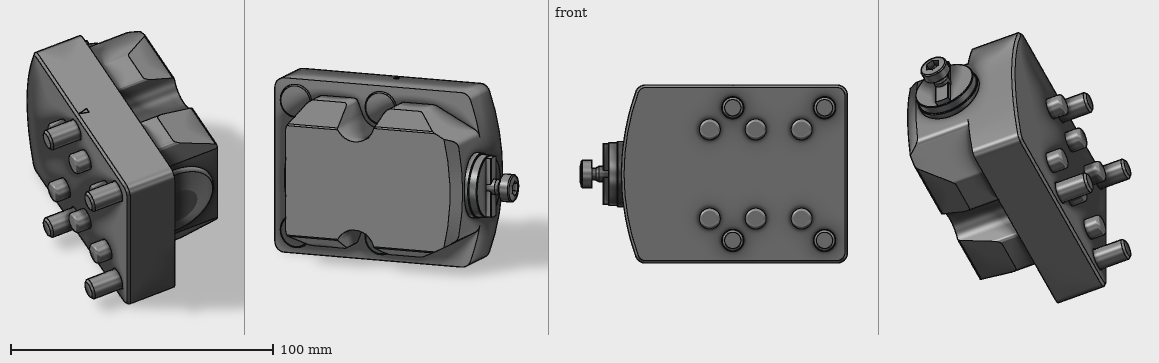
import cadquery as cq
import math


plate_length = 86.2
plate_height = 68.0
plate_depth = 20.0
plate_corner_radius = 4.0
plate_chamfer = 1.0
end_arc_radius = 93.0
half_height = plate_height / 2

screw_spacing_x = 35.0
screw_end_margin = 8.75
screw_last_x = plate_length - screw_end_margin
screw_first_x = screw_last_x - screw_spacing_x
screw_z = 25.3
screw_diameter = 8.0
screw_length = 25.0
screw_protrusion = 12.5
screw_end_chamfer = 0.9
head_diameter = 13.0
head_height = 8.0
head_edge_chamfer = 0.5
screw_hole_diameter = 8.5
head_seat_y = screw_length - screw_protrusion

stud_spacing_x = screw_spacing_x / 2
stud_middle_x = (screw_first_x + screw_last_x) / 2 - stud_spacing_x / 2
stud_z = 17.0
stud_diameter = 8.0
stud_length = 6.0
stud_end_radius = 1.2

back_y = 46.0
body_half_height = 28.4
body_end_x = 71.0
lead_angle = math.radians(27)
lead_end_x = 20.0
lead_fillet = 4.0

valley_radius = 8.1
valley_tilt = math.radians(21)
valley_left_fillet = 1.5
lug_fillet = 2.0
lug_end_tilt = math.radians(21)
lug_end_flat_z = 20.0

back_slope = 0.4
front_lug_slope_depth = 12.5
rear_lug_slope_depth = 16.8
back_edge_chamfer = 0.6

bevel_depth = 4.9
bevel_inset = 3.2

axis_y = 27.0
boss_radius = 17.0
boss_overlap = 1.0
boss_round_length = 1.8
boss_length = 4.0
boss_rim_x = body_end_x + boss_round_length
boss_end_x = body_end_x + boss_length
boss_cone_radius = 16.0
boss_end_radius = 8.4
collar_radius = 12.5
collar_face_x = -1.7
collar_chamfer = 0.3
collar_root_x = 10.0

disc_radius = 12.0
disc_face_x = -5.0
rib_width = 5.4
plug_chamfer = 0.3
rib_face_x = -7.05
hub_radius = 3.0
hub_round_x = -8.5
hub_end_x = -9.7
hub_end_radius = 2.4

clamp_tip_x = -15.81
clamp_head_radius = 5.3
clamp_head_length = 4.5
clamp_cone_length = 0.5
clamp_rim_length = 1.0
clamp_rim_radius = 4.9
clamp_neck_radius = 2.3
clamp_socket_flats = 5.0
clamp_socket_depth = 2.5
clamp_socket_point = 1.5
clamp_socket_corners = clamp_socket_flats / math.cos(math.pi / 6)

mark_width = 2.1
mark_tip_y = 1.2
mark_base_y = 5.0
mark_depth = 0.2


def arc_x(z):
    """X of the arched end at height z."""
    return end_arc_radius - math.sqrt(end_arc_radius**2 - z**2)


def plane_y(y):
    """Sketch plane facing +Y at depth y, with local axes along +X and -Z."""
    return cq.Workplane(cq.Plane(origin=(0, y, 0), xDir=(1, 0, 0), normal=(0, 1, 0)))


def plane_x(x):
    """Sketch plane facing +X on the plug axis, with local axes along +Y and +Z."""
    return cq.Workplane(cq.Plane(origin=(x, axis_y, 0), xDir=(0, 1, 0), normal=(1, 0, 0)))


def turned(profile):
    """Revolve a closed (x, radius) profile around the plug axis."""
    axis_plane = cq.Workplane(cq.Plane(origin=(0, axis_y, 0), xDir=(1, 0, 0), normal=(0, 0, 1)))
    return axis_plane.polyline(profile).close().revolve(360, (0, 0, 0), (1, 0, 0))


def make_plate():
    corner_x = arc_x(half_height)
    plate = (
        plane_y(0)
        .moveTo(corner_x, -half_height)
        .lineTo(plate_length, -half_height)
        .lineTo(plate_length, half_height)
        .lineTo(corner_x, half_height)
        .threePointArc((0, 0), (corner_x, -half_height))
        .close()
        .extrude(plate_depth)
    )
    plate = plate.edges("|Y").fillet(plate_corner_radius)
    return plate.faces("<Y").edges().chamfer(plate_chamfer)


def lead_start():
    """Point where the slanted side wall meets the arched end."""
    wall_distance = (end_arc_radius - lead_end_x) * math.sin(lead_angle)
    wall_distance += body_half_height * math.cos(lead_angle)
    ray_angle = math.asin(wall_distance / end_arc_radius) - lead_angle
    return end_arc_radius * (1 - math.cos(ray_angle)), end_arc_radius * math.sin(ray_angle)


def make_back_body():
    """Back body outline with the valleys between the lugs, symmetric about Z = 0."""
    top = body_half_height
    valley_left_x = screw_first_x - valley_radius
    tangent_x = screw_first_x + valley_radius * math.cos(valley_tilt)
    tangent_z = screw_z - valley_radius * math.sin(valley_tilt)
    valley_right_x = tangent_x + (top - tangent_z) * math.tan(valley_tilt)
    lug_end_x = body_end_x - (top - lug_end_flat_z) * math.tan(lug_end_tilt)
    start_x, start_z = lead_start()

    half = (
        cq.Workplane(cq.Plane(origin=(0, plate_depth, 0), xDir=(1, 0, 0), normal=(0, -1, 0)))
        .moveTo(0, 0)
        .threePointArc((arc_x(start_z / 2), start_z / 2), (start_x, start_z))
        .lineTo(lead_end_x, top)
        .lineTo(valley_left_x, top)
        .lineTo(valley_left_x, screw_z)
        .threePointArc((screw_first_x, screw_z - valley_radius), (tangent_x, tangent_z))
        .lineTo(valley_right_x, top)
        .lineTo(lug_end_x, top)
        .lineTo(body_end_x, lug_end_flat_z)
        .lineTo(body_end_x, 0)
        .close()
        .extrude(plate_depth - back_y)
    )
    corner_fillets = [
        (start_x, start_z, lead_fillet),
        (lead_end_x, top, lead_fillet),
        (valley_left_x, top, valley_left_fillet),
        (valley_right_x, top, lug_fillet),
        (lug_end_x, top, lug_fillet),
    ]
    middle_y = (plate_depth + back_y) / 2
    for x, z, radius in corner_fillets:
        corner = cq.selectors.NearestToPointSelector((x, middle_y, z))
        half = half.edges("|Y").edges(corner).fillet(radius)
    half = half.cut(lug_back_cutter(0, screw_first_x, front_lug_slope_depth))
    half = half.cut(lug_back_cutter(screw_first_x, plate_length, rear_lug_slope_depth))
    body = half.union(half.mirror("XY"))
    return body.cut(end_bevel_cutter())


def lug_back_cutter(x_from, x_to, slope_depth):
    """Prism that slopes the back of a lug and breaks the edge at its back face."""
    top = body_half_height
    edge_z = top - (slope_depth - back_edge_chamfer) * back_slope
    return (
        cq.Workplane("YZ", origin=(x_from, 0, 0))
        .moveTo(back_y - slope_depth, top)
        .lineTo(back_y - back_edge_chamfer, edge_z)
        .lineTo(back_y, edge_z - back_edge_chamfer)
        .lineTo(back_y, top)
        .close()
        .extrude(x_to - x_from)
    )


def end_bevel_cutter():
    """Ring around the centre of the end arc that bevels the arched end at the back."""
    return (
        cq.Workplane("XY")
        .moveTo(0, back_y - bevel_depth)
        .lineTo(bevel_inset, back_y)
        .lineTo(0, back_y)
        .close()
        .revolve(360, (end_arc_radius, 0, 0), (end_arc_radius, 1, 0))
    )


def make_boss():
    boss = (
        cq.Workplane("XY", origin=(0, axis_y, 0))
        .moveTo(body_end_x - boss_overlap, 0)
        .lineTo(body_end_x - boss_overlap, boss_radius)
        .lineTo(body_end_x, boss_radius)
        .tangentArcPoint((boss_rim_x, boss_cone_radius), relative=False)
        .lineTo(boss_end_x, boss_end_radius)
        .lineTo(boss_end_x, 0)
        .close()
    )
    return boss.revolve(360, (0, 0, 0), (1, 0, 0))


def make_collar():
    collar = plane_x(collar_face_x).circle(collar_radius).extrude(collar_root_x - collar_face_x)
    return collar.faces("<X").edges().chamfer(collar_chamfer)


def make_studs():
    points = [
        (stud_middle_x + step * stud_spacing_x, side * stud_z)
        for step in (-1, 0, 1)
        for side in (-1, 1)
    ]
    studs = plane_y(-stud_length).pushPoints(points).circle(stud_diameter / 2)
    studs = studs.extrude(stud_length + plate_chamfer)
    return studs.faces("<Y").edges().fillet(stud_end_radius)


screw_points = [(x, side * screw_z) for x in (screw_first_x, screw_last_x) for side in (-1, 1)]


def make_housing():
    housing = make_plate().union(make_back_body()).union(make_boss())
    housing = housing.union(make_collar()).union(make_studs())
    holes = plane_y(0).pushPoints(screw_points).circle(screw_hole_diameter / 2).extrude(plate_depth)
    seats = plane_y(head_seat_y).pushPoints(screw_points).circle(head_diameter / 2)
    seats = seats.extrude(head_height)
    mark = (
        cq.Workplane("XY", origin=(screw_first_x, 0, half_height))
        .moveTo(0, mark_tip_y)
        .lineTo(mark_width / 2, mark_base_y)
        .lineTo(-mark_width / 2, mark_base_y)
        .close()
        .extrude(-mark_depth)
    )
    return housing.cut(holes).cut(seats).cut(mark)


def make_mounting_screw(x, local_z):
    shank = plane_y(-screw_protrusion).center(x, local_z).circle(screw_diameter / 2).extrude(screw_length)
    shank = shank.faces("<Y").edges().chamfer(screw_end_chamfer)
    head = plane_y(head_seat_y).center(x, local_z).circle(head_diameter / 2).extrude(head_height)
    head = head.faces(">Y").edges().chamfer(head_edge_chamfer)
    return shank.union(head)


def make_plug():
    """Disc with a key rib across it and a central hub bored for the clamp screw."""
    disc = plane_x(disc_face_x).circle(disc_radius).extrude(collar_face_x - disc_face_x)
    disc = disc.faces("<X").edges().chamfer(plug_chamfer)
    rib_length = disc_face_x - rib_face_x
    rib_bar = plane_x(rib_face_x).rect(rib_width, 2 * disc_radius).extrude(rib_length)
    rib_round = plane_x(rib_face_x).circle(disc_radius - plug_chamfer).extrude(rib_length)
    rib = rib_bar.faces("<X").edges("|Z").chamfer(plug_chamfer).intersect(rib_round)
    hub = turned([
        (hub_end_x, 0),
        (hub_end_x, hub_end_radius),
        (hub_round_x, hub_radius),
        (disc_face_x, hub_radius),
        (disc_face_x, 0),
    ])
    bore = plane_x(hub_end_x).circle(clamp_neck_radius).extrude(disc_face_x - hub_end_x)
    return disc.union(rib).union(hub).cut(bore)


def make_clamp_screw():
    screw = turned([
        (clamp_tip_x, 0),
        (clamp_tip_x, clamp_socket_corners / 2),
        (clamp_tip_x + clamp_cone_length, clamp_rim_radius),
        (clamp_tip_x + clamp_rim_length, clamp_head_radius),
        (clamp_tip_x + clamp_head_length, clamp_head_radius),
        (clamp_tip_x + clamp_head_length, clamp_neck_radius),
        (disc_face_x, clamp_neck_radius),
        (disc_face_x, 0),
    ])
    socket_end_x = clamp_tip_x + clamp_socket_depth
    drill = turned([
        (clamp_tip_x, 0),
        (clamp_tip_x, clamp_socket_corners / 2),
        (socket_end_x, clamp_socket_corners / 2),
        (socket_end_x + clamp_socket_point, 0),
    ])
    socket = plane_x(clamp_tip_x).transformed(rotate=(0, 0, 90)).polygon(6, clamp_socket_corners)
    socket = socket.extrude(clamp_socket_depth + clamp_socket_point).intersect(drill)
    return screw.cut(socket)


housing = make_housing()
mounting_screws = [make_mounting_screw(x, local_z) for x, local_z in screw_points]
plug = make_plug()
clamp_screw = make_clamp_screw()

result = cq.Compound.makeCompound(
    [housing.val(), plug.val(), clamp_screw.val()] + [screw.val() for screw in mounting_screws]
)